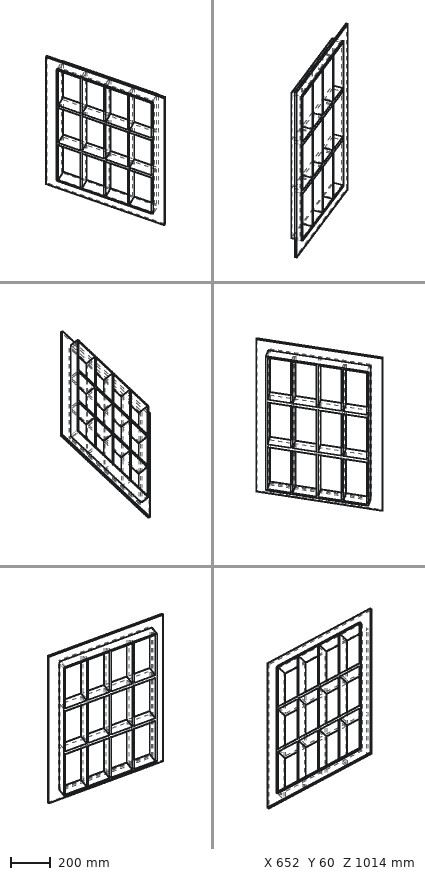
import cadquery as cq

plate_width = 652.0
plate_height = 1014.0
plate_thickness = 10.0
flange_border = 60.0

sleeve_depth = 60.0
sleeve_projection = 3.0
sleeve_wall = 10.0
corner_radius = 10.0
sleeve_width = plate_width - 2 * flange_border
sleeve_height = plate_height - 2 * flange_border

columns = 4
rows = 3
upright_thickness = 10.0
crossbar_thickness = 20.0
clear_width = sleeve_width - 2 * sleeve_wall
clear_height = sleeve_height - 2 * sleeve_wall
opening_width = (clear_width - (columns - 1) * upright_thickness) / columns
opening_height = (clear_height - (rows - 1) * crossbar_thickness) / rows


def block(width, depth, height, front_y):
    """Box centred in X and Z, running from front_y toward +Y."""
    return cq.Workplane("XY").box(width, depth, height).translate((0, front_y + depth / 2, 0))


flange = block(plate_width, plate_thickness, plate_height, sleeve_projection)
sleeve = block(sleeve_width, sleeve_depth, sleeve_height, 0).edges("|Y").fillet(corner_radius)

openings = (
    cq.Workplane("XZ")
    .rarray(opening_width + upright_thickness, opening_height + crossbar_thickness, columns, rows)
    .rect(opening_width, opening_height)
    .extrude(-sleeve_depth)
)

result = flange.union(sleeve).cut(openings)